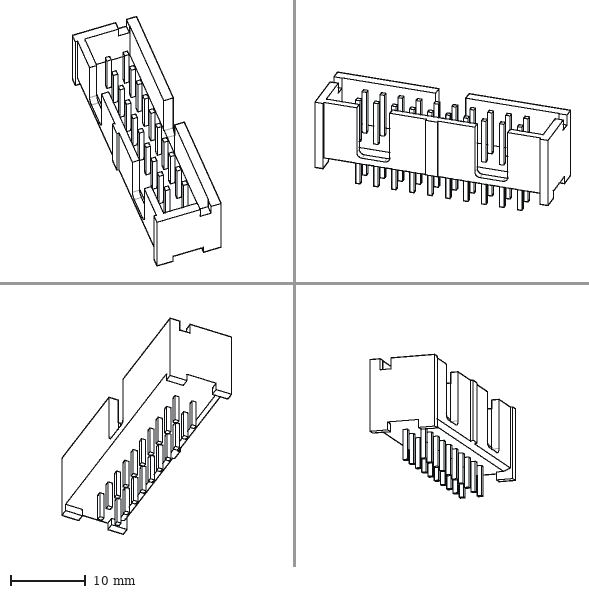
import cadquery as cq

length = 33.02
width = 9.15
total_height = 12.9
housing_height = 9.87

end_wall = 1.15
front_wall = 1.35
back_wall = 1.4
cavity_depth = 6.5
body_height = 8.78

skin_recess = 0.33
key_width = 1.7
slope_height = 0.53
slope_depth = 1.3

front_foot = 2.3
back_foot = 2.5

slot_depth = 7.5
slot_radius = 0.73
front_slot_width = 4.65
front_slot_offset = 8.35
back_slot_width = 4.25

notch_width = 1.52
notch_depth = 1.52
notch_back_wall = 1.45

pin_columns = 10
pin_rows = 2
pin_pitch = 2.55
pin_size = 0.63
pin_below_rim = 0.33
pin_shift = -0.03

rim_z = total_height
foot_z = rim_z - housing_height
body_z = rim_z - body_height
floor_z = rim_z - cavity_depth
front_y = -width / 2
back_y = width / 2
inner_length = length - 2 * end_wall


def block(x_size, y_range, z_range):
    """Box centred on X = 0 that spans the given Y and Z ranges."""
    y_low, y_high = y_range
    z_low, z_high = z_range
    return (
        cq.Workplane("XY")
        .box(x_size, y_high - y_low, z_high - z_low, centered=(True, False, False))
        .translate((0, y_low, z_low))
    )


def wall_slot(slot_width, x_center, y_range):
    """Rim slot with rounded bottom corners, cut through one side wall."""
    return (
        block(slot_width, y_range, (rim_z - slot_depth, rim_z))
        .edges("|Y and <Z")
        .fillet(slot_radius)
        .translate((x_center, 0, 0))
    )


def make_housing():
    body = block(length, (front_y, back_y), (foot_z, rim_z))

    body = body.cut(block(inner_length, (front_y + front_wall, back_y - back_wall), (floor_z, rim_z)))
    body = body.cut(block(inner_length, (front_y, back_y), (foot_z, body_z)))
    body = body.cut(block(length, (front_y + front_foot, back_y - back_foot), (foot_z, body_z)))

    panel_width = (inner_length - key_width) / 2
    panel = block(panel_width, (front_y, front_y + skin_recess), (foot_z, rim_z))
    for side in (-1, 1):
        body = body.cut(panel.translate((side * (key_width + panel_width) / 2, 0, 0)))

    slope = (
        cq.Workplane("YZ")
        .moveTo(front_y, body_z)
        .lineTo(front_y + slope_depth, body_z)
        .lineTo(front_y, body_z + slope_height)
        .close()
        .extrude(inner_length / 2, both=True)
    )
    return body.cut(slope)


def cut_openings(body):
    for side in (-1, 1):
        body = body.cut(wall_slot(front_slot_width, side * front_slot_offset, (front_y, front_y + front_wall)))
    body = body.cut(wall_slot(back_slot_width, 0, (back_y - back_wall, back_y)))

    notch_y = back_y - notch_back_wall
    notch = block(end_wall, (notch_y - notch_width, notch_y), (rim_z - notch_depth, rim_z))
    for side in (-1, 1):
        body = body.cut(notch.translate((side * (length - end_wall) / 2, 0, 0)))
    return body


def make_pins():
    pin_length = total_height - pin_below_rim
    return (
        cq.Workplane("XY")
        .rarray(pin_pitch, pin_pitch, pin_columns, pin_rows)
        .rect(pin_size, pin_size)
        .extrude(pin_length)
        .translate((0, pin_shift, 0))
    )


result = cut_openings(make_housing()).union(make_pins())